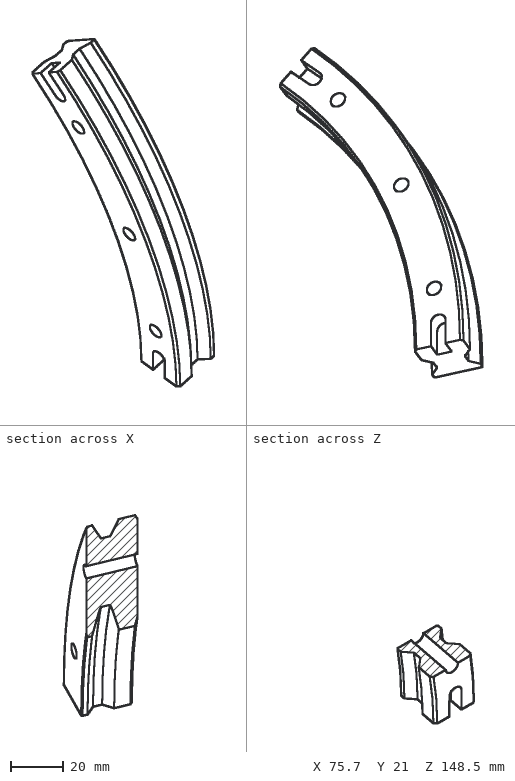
import cadquery as cq
import math

sweep_angle = 45.0
height = 148.5
rail_width = 20.0
rail_depth = 21.0
outer_radius = height / math.sin(math.radians(sweep_angle))
inner_radius = outer_radius - rail_width
middle_radius = outer_radius - rail_width / 2

front_chamfer = 1.0
back_chamfer = 0.5

groove_depth = 3.5
groove_floor_width = 3.7
groove_from_back = 7.9

hole_diameter = 6.0
hole_angles = [sweep_angle * fraction for fraction in (1 / 6, 1 / 2, 5 / 6)]
slot_width = 6.0
slot_length = 13.7
slot_depth = 6.4

front_y = -rail_depth / 2
back_y = rail_depth / 2


def side_points(radius, inward):
    """Side of the section from front to back; inward is the sign toward its middle."""
    groove_y = back_y - groove_from_back
    half_floor = groove_floor_width / 2
    half_mouth = half_floor + groove_depth
    floor_radius = radius + inward * groove_depth
    return [
        (radius + inward * front_chamfer, front_y),
        (radius, front_y + front_chamfer),
        (radius, groove_y - half_mouth),
        (floor_radius, groove_y - half_floor),
        (floor_radius, groove_y + half_floor),
        (radius, groove_y + half_mouth),
        (radius, back_y - back_chamfer),
        (radius + inward * back_chamfer, back_y),
    ]


def make_rail():
    outline = side_points(outer_radius, -1) + side_points(inner_radius, 1)[::-1]
    section = cq.Workplane("XY").polyline(outline).close()
    return section.revolve(sweep_angle, (0, 0, 0), (0, -1, 0))


def turn(shape, angle):
    """Turn a shape about the arc axis from +X toward +Z."""
    return shape.rotate((0, 0, 0), (0, -1, 0), angle)


def make_hole(angle):
    hole = (
        cq.Workplane("XZ", origin=(middle_radius, front_y, 0))
        .circle(hole_diameter / 2)
        .extrude(-rail_depth)
    )
    return turn(hole, angle)


def make_slot(angle, direction):
    """Round-ended front slot at an end face; direction is +1 along +Z, -1 along -Z."""
    half_width = slot_width / 2
    straight = direction * (slot_length - half_width)
    slot = (
        cq.Workplane("XZ", origin=(middle_radius, front_y, 0))
        .moveTo(-half_width, 0)
        .lineTo(-half_width, straight)
        .threePointArc((0, direction * slot_length), (half_width, straight))
        .lineTo(half_width, 0)
        .close()
        .extrude(-slot_depth)
    )
    return turn(slot, angle)


result = make_rail()
for hole_angle in hole_angles:
    result = result.cut(make_hole(hole_angle))
result = result.cut(make_slot(0, 1))
result = result.cut(make_slot(sweep_angle, -1))